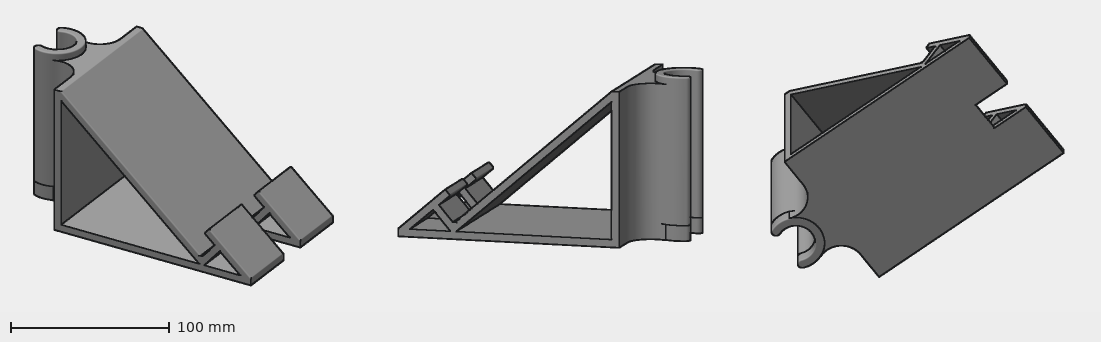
import cadquery as cq
import math


WIDTH = 100.0
HEIGHT = 100.0
WALL = 5.0
TOE_X = 145.0
TOE_HEIGHT = 5.0
SLOPE_ANGLE = math.radians(40.9)
LID_LENGTH = 40.8
LID_OVERHANG = 9.8
SLOT_WIDTH = 20.0
EDGE_ROUND = 0.9
RIB_FOOT_FACET = 0.9

CLIP_X = -28.0
CLIP_OUTER_RADIUS = 18.0
CLIP_INNER_RADIUS = 12.0
CLIP_HALF_ANGLE = math.radians(111.7)
CLIP_HEIGHT = 105.0
COLLAR_HEIGHT = 10.2
WEB_RADIUS = 15.0

DOWN = cq.Vector(math.cos(SLOPE_ANGLE), -math.sin(SLOPE_ANGLE))
OUT = cq.Vector(math.sin(SLOPE_ANGLE), math.cos(SLOPE_ANGLE))

SLOPE_TOP = cq.Vector(WALL, HEIGHT)
TOE = cq.Vector(TOE_X, TOE_HEIGHT)
LID_TIP = TOE - DOWN * LID_LENGTH
LID_TIP_UNDER = LID_TIP - OUT * WALL
RIB_TOP_LEFT = LID_TIP_UNDER + DOWN * LID_OVERHANG
RIB_TOP_RIGHT = RIB_TOP_LEFT + DOWN * WALL
RIB_FOOT = SLOPE_TOP + DOWN * (RIB_TOP_LEFT - SLOPE_TOP).dot(DOWN)
FACET_ON_SLOPE = RIB_FOOT - DOWN * RIB_FOOT_FACET
FACET_ON_RIB = RIB_FOOT + OUT * RIB_FOOT_FACET


def at_height(start, direction, z):
    """Point where a line in XZ reaches height z."""
    return start + direction * ((z - start.y) / direction.y)


def at_x(start, direction, x):
    """Point where a line in XZ reaches the given x."""
    return start + direction * ((x - start.x) / direction.x)


def prism(corners, width):
    """XZ polygon extruded symmetrically about Y = 0."""
    points = [(corner.x, corner.y) for corner in corners]
    return cq.Workplane("XZ").polyline(points).close().extrude(width / 2, both=True)


def edges_along(body, start, end, y=None):
    """Edges lying on the XZ line from start to end, at one y or at any."""
    length = (end - start).Length
    along = (end - start) / length
    tolerance = 0.002
    found = []
    for edge in body.edges().vals():
        centre = edge.Center()
        offset = cq.Vector(centre.x, centre.z) - start
        distance = offset.dot(along)
        on_line = (offset - along * distance).Length < tolerance
        within = -tolerance < distance < length + tolerance
        if on_line and within and (y is None or abs(abs(centre.y) - y) < tolerance):
            found.append(edge)
    return found


def make_frame():
    """Back plate, base, slope, rib and split lid."""
    frame = prism(
        [cq.Vector(0, 0), cq.Vector(TOE_X, 0), TOE, LID_TIP, LID_TIP_UNDER,
         RIB_TOP_LEFT, FACET_ON_RIB, FACET_ON_SLOPE, SLOPE_TOP, cq.Vector(0, HEIGHT)],
        WIDTH,
    )

    slope_under = SLOPE_TOP - OUT * WALL
    frame = frame.cut(prism(
        [cq.Vector(WALL, WALL), at_height(slope_under, DOWN, WALL), at_x(slope_under, DOWN, WALL)],
        WIDTH,
    ))

    frame = frame.cut(prism(
        [at_height(RIB_TOP_RIGHT, OUT, WALL), at_height(RIB_TOP_RIGHT, DOWN, WALL), RIB_TOP_RIGHT],
        WIDTH,
    ))

    slope_end = SLOPE_TOP + DOWN * (2 * TOE_X)
    beyond = OUT * TOE_X
    frame = frame.cut(prism([SLOPE_TOP, slope_end, slope_end + beyond, SLOPE_TOP + beyond], SLOT_WIDTH))

    rims = edges_along(frame, SLOPE_TOP, FACET_ON_SLOPE, WIDTH / 2)
    rims += edges_along(frame, SLOPE_TOP, SLOPE_TOP + DOWN * EDGE_ROUND)
    rims += edges_along(frame, TOE, LID_TIP)
    rims += edges_along(frame, LID_TIP_UNDER, LID_TIP_UNDER + OUT * EDGE_ROUND)
    return frame.newObject(rims).fillet(EDGE_ROUND)


def make_web():
    """Flared web tangent to the back plate and to the clip."""
    reach = CLIP_OUTER_RADIUS + WEB_RADIUS
    flare_x = -WEB_RADIUS
    flare_y = math.sqrt(reach**2 - (flare_x - CLIP_X) ** 2)
    joint_x = CLIP_X + (flare_x - CLIP_X) * CLIP_OUTER_RADIUS / reach
    joint_y = flare_y * CLIP_OUTER_RADIUS / reach
    start = math.atan2(joint_y - flare_y, joint_x - flare_x)
    middle = start / 2
    middle_x = flare_x + WEB_RADIUS * math.cos(middle)
    middle_y = flare_y + WEB_RADIUS * math.sin(middle)
    return (
        cq.Workplane("XY")
        .moveTo(0, flare_y)
        .threePointArc((middle_x, middle_y), (joint_x, joint_y))
        .threePointArc((CLIP_X + CLIP_OUTER_RADIUS, 0), (joint_x, -joint_y))
        .threePointArc((middle_x, -middle_y), (0, -flare_y))
        .close()
        .extrude(HEIGHT)
    )


def make_clip(bottom, top):
    """C-shaped length of clip with rounded tips, open toward -X."""
    def on_clip(radius, angle):
        return (CLIP_X + radius * math.cos(angle), radius * math.sin(angle))

    tip_radius = (CLIP_OUTER_RADIUS - CLIP_INNER_RADIUS) / 2
    middle_radius = CLIP_INNER_RADIUS + tip_radius
    tip_x, tip_y = on_clip(middle_radius, CLIP_HALF_ANGLE)
    end_x = tip_x - tip_radius * math.sin(CLIP_HALF_ANGLE)
    end_y = tip_y + tip_radius * math.cos(CLIP_HALF_ANGLE)
    return (
        cq.Workplane("XY", origin=(0, 0, bottom))
        .moveTo(*on_clip(CLIP_OUTER_RADIUS, -CLIP_HALF_ANGLE))
        .threePointArc(on_clip(CLIP_OUTER_RADIUS, 0), on_clip(CLIP_OUTER_RADIUS, CLIP_HALF_ANGLE))
        .threePointArc((end_x, end_y), on_clip(CLIP_INNER_RADIUS, CLIP_HALF_ANGLE))
        .threePointArc(on_clip(CLIP_INNER_RADIUS, 0), on_clip(CLIP_INNER_RADIUS, -CLIP_HALF_ANGLE))
        .threePointArc((end_x, -end_y), on_clip(CLIP_OUTER_RADIUS, -CLIP_HALF_ANGLE))
        .close()
        .extrude(top - bottom)
    )


def make_bracket():
    """Frame, web and the upper length of the clip as one body."""
    clip = make_clip(COLLAR_HEIGHT, CLIP_HEIGHT).faces(">Z").edges().fillet(EDGE_ROUND)
    return make_frame().union(make_web()).union(clip)


def make_collar():
    """Separate lower length of the clip, seated below the upper one."""
    return make_clip(0, COLLAR_HEIGHT).faces("<Z").edges().fillet(EDGE_ROUND)


bracket = make_bracket()
collar = make_collar()
result = cq.Compound.makeCompound([bracket.val(), collar.val()])